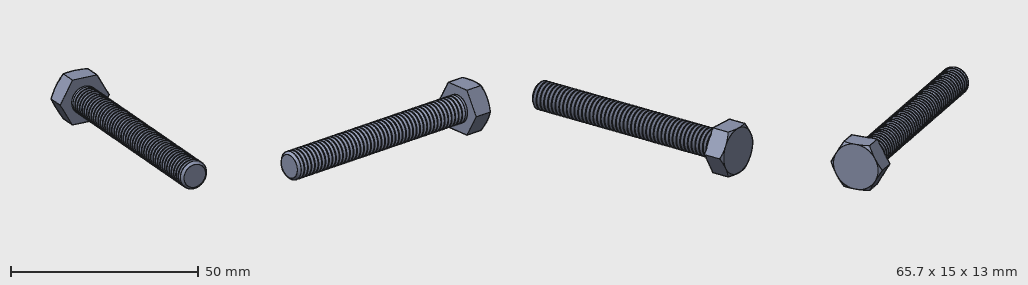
import cadquery as cq
import math

total_length = 65.7
head_height = 5.65
across_flats = 13.0
head_chamfer_angle = 30
thread_diameter = 8.0
pitch_count = 48
crest_width = 0.295
thread_depth = 0.7

across_corners = across_flats / math.cos(math.radians(30))
thread_radius = thread_diameter / 2
root_radius = thread_radius - thread_depth
thread_pitch = (total_length - head_height) / pitch_count
groove_half_width = (thread_pitch - crest_width) / 2


def revolve_about_x(profile):
    """Close a profile and turn it fully around the bolt axis."""
    return profile.close().revolve(360, (0, 0, 0), (1, 0, 0))


def make_head():
    """Hexagonal head with flats facing +Z and -Z, its outer corners cut by a cone."""
    hexagon = cq.Workplane("YZ").polygon(6, across_corners).extrude(head_height)
    corner_radius = across_corners / 2
    face_radius = across_flats / 2
    cone_length = (corner_radius - face_radius) * math.tan(math.radians(head_chamfer_angle))
    envelope = revolve_about_x(
        cq.Workplane("XY")
        .lineTo(0, face_radius)
        .lineTo(cone_length, corner_radius)
        .lineTo(head_height, corner_radius)
        .lineTo(head_height, 0)
    )
    return hexagon.intersect(envelope)


def make_threaded_shank():
    """Shank with ring-shaped V grooves, one at the end of every pitch except the last."""
    profile = cq.Workplane("XY").moveTo(head_height, 0).lineTo(head_height, thread_radius)
    for groove in range(1, pitch_count):
        groove_center = head_height + groove * thread_pitch
        profile = (
            profile.lineTo(groove_center - groove_half_width, thread_radius)
            .lineTo(groove_center, root_radius)
            .lineTo(groove_center + groove_half_width, thread_radius)
        )
    return revolve_about_x(profile.lineTo(total_length, thread_radius).lineTo(total_length, 0))


def make_tip_envelope():
    """Cylinder around the shank whose free end has a 45 degree chamfer as deep as the thread."""
    shank_length = total_length - head_height
    cylinder = cq.Workplane("YZ", origin=(head_height, 0, 0)).circle(thread_radius).extrude(shank_length)
    return cylinder.faces(">X").chamfer(thread_depth)


shank = make_threaded_shank().intersect(make_tip_envelope())
result = make_head().union(shank)